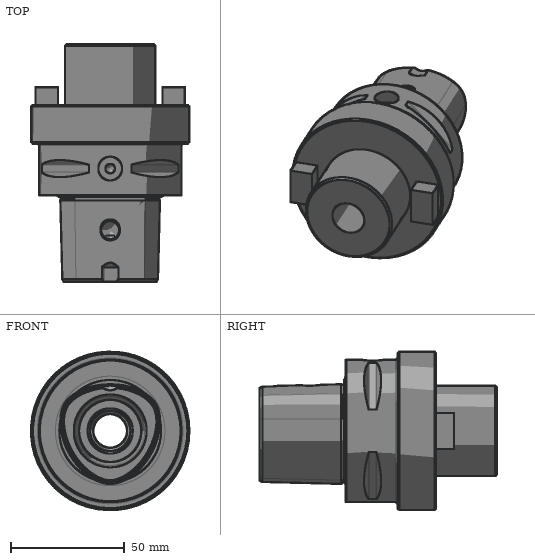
import cadquery as cq
import math


shank_length = 38.0
body_length = 22.9
flange_end = 40.0
spigot_length = 27.0
spigot_end = flange_end + spigot_length

spigot_diameter = 40.0
flange_diameter = 70.0
body_diameter = 63.0
spigot_radius = spigot_diameter / 2
flange_radius = flange_diameter / 2
body_radius = body_diameter / 2

spigot_chamfer = 0.9
flange_top_chamfer = 0.7
flange_base_chamfer = 0.9
flange_chamfer_length = 0.9
body_chamfer = 0.4
corner_radius = 0.7

mean_radius = 22.1
eccentricity = 1.4
taper_per_length = 1 / 40
lobe_half_angle = 27.0
points_per_face = 9
tip_chamfer = 0.75
tip_chamfer_length = 1.3
neck_length = 2.0
neck_relief = 0.2
neck_radius = 22.5
neck_straight = 1.1
neck_flare_radius = 24.5
collar_radius = 24.2
collar_height = 0.6

mouth_radius = 16.1
mouth_chamfer_radius = 15.3
mouth_chamfer_depth = 1.5
lead_radius = 14.0
lead_depth = 6.9
lip_radius = 13.8
lip_depth = 9.0
groove_radius = 14.8
groove_depth = 14.3
groove_edge = 1.0
back_edge_length = 2.0
pocket_radius = 13.7
pocket_depth = 20.5
thread_chamfer = 1.1
thread_radius = 8.9
thread_depth = 50.0
bore_radius = 7.4

key_inner = 23.0
key_outer = 33.0
key_width = 16.0
key_height = 8.0

groove_center = 12.0
groove_floor_distance = 27.9
groove_floor_width = 3.4
groove_wall_angle = 30.0
groove_floor_fillet = 0.4
screw_hole_radius = 5.25
screw_hole_floor = 26.0
socket_radius = 2.1
socket_depth = 1.0
index_hole_center = -15.2
index_hole_radius = 4.0
index_hole_floor = 14.8
index_hole_mouth = 19.7
drill_half_angle = 59.0
tip_notch_radius = 4.7
tip_notch_floor = 17.9
tip_notch_length = 6.4
tip_notch_half_angle = 45.0


def revolve_about_y(outline):
    return outline.close().revolve(360, (0, 0, 0), (0, 1, 0))


def turned_body():
    """Spigot, flange and gripper body, with the raised collar around the shank."""
    fillet_start = body_length - corner_radius
    outline = (
        cq.Workplane("XY")
        .moveTo(0, spigot_end)
        .lineTo(spigot_radius - spigot_chamfer, spigot_end)
        .lineTo(spigot_radius, spigot_end - spigot_chamfer)
        .lineTo(spigot_radius, flange_end)
        .lineTo(flange_radius - flange_top_chamfer, flange_end)
        .lineTo(flange_radius, flange_end - flange_top_chamfer)
        .lineTo(flange_radius, body_length + flange_chamfer_length)
        .lineTo(flange_radius - flange_base_chamfer, body_length)
        .lineTo(body_radius + corner_radius, body_length)
        .radiusArc((body_radius, fillet_start), -corner_radius)
        .lineTo(body_radius, body_chamfer)
        .lineTo(body_radius - body_chamfer, 0)
        .lineTo(collar_radius, 0)
        .threePointArc(
            (
                neck_radius + (collar_radius - neck_radius) * (1 - math.sqrt(0.5)),
                -collar_height * (1 - math.sqrt(0.5)),
            ),
            (neck_radius, -collar_height),
        )
        .lineTo(0, -collar_height)
    )
    return revolve_about_y(outline)


def polygon_point(radius, angle, y):
    """Point of the three-lobed profile whose outward normal is `angle` from +Z."""
    x = (
        radius * math.sin(angle)
        + 2 * eccentricity * math.sin(2 * angle)
        + eccentricity * math.sin(4 * angle)
    )
    z = (
        radius * math.cos(angle)
        - 2 * eccentricity * math.cos(2 * angle)
        + eccentricity * math.cos(4 * angle)
    )
    return cq.Vector(x, y, z)


def polygon_wire(radius, y):
    """Closed profile of three lobes and the three flatter sides between them."""
    edges = []
    for lobe_angle in (60, 180, 300):
        lobe_start = lobe_angle - lobe_half_angle
        lobe_end = lobe_angle + lobe_half_angle
        next_lobe_start = lobe_start + 120
        for first, last in ((lobe_start, lobe_end), (lobe_end, next_lobe_start)):
            step = (last - first) / (points_per_face - 1)
            angles = [math.radians(first + i * step) for i in range(points_per_face)]
            points = [polygon_point(radius, angle, y) for angle in angles]
            tangents = [cq.Vector(math.cos(a), 0, -math.sin(a)) for a in (angles[0], angles[-1])]
            edges.append(cq.Edge.makeSpline(points, tangents=tangents))
    return cq.Wire.assembleEdges(edges)


def tapered_radius(y):
    return mean_radius + y * taper_per_length


def polygon_loft(start, end):
    """Straight-sided solid between two (radius, y) profiles."""
    return cq.Workplane(cq.Solid.makeLoft([polygon_wire(*start), polygon_wire(*end)], True))


def shank():
    """Polygon taper with a chamfered tip and a relieved, round-trimmed neck."""
    taper_start = -neck_length
    taper_end = tip_chamfer_length - shank_length
    large = tapered_radius(taper_start)
    small = tapered_radius(taper_end)
    tip = tapered_radius(-shank_length) - tip_chamfer
    taper = polygon_loft((large, taper_start), (small, taper_end))
    chamfered_tip = polygon_loft((small, taper_end), (tip, -shank_length))
    neck = polygon_loft((large - neck_relief, 0), (large - neck_relief, taper_start))
    neck_trim = revolve_about_y(
        cq.Workplane("XY")
        .moveTo(0, 0)
        .lineTo(neck_radius, 0)
        .lineTo(neck_radius, -neck_straight)
        .lineTo(neck_flare_radius, taper_start)
        .lineTo(0, taper_start)
    )
    return taper.union(chamfered_tip).union(neck.intersect(neck_trim))


def drive_keys():
    keys = cq.Workplane("XY")
    for side in (-1, 1):
        center_x = side * (key_inner + key_outer) / 2
        key = cq.Workplane("XY").box(key_outer - key_inner, 2 * key_height, key_width)
        keys = keys.add(key.translate((center_x, flange_end, 0)))
    return keys.combine()


def stepped_bore():
    """Through bore: chamfered mouth, lead-in cone, ring groove, pocket and thread hole."""
    tip = -shank_length
    thread_chamfer_radius = thread_radius + thread_chamfer
    drill_cone = (thread_radius - bore_radius) / math.tan(math.radians(drill_half_angle))
    outline = (
        cq.Workplane("XY")
        .moveTo(0, tip)
        .lineTo(mouth_radius, tip)
        .lineTo(mouth_chamfer_radius, tip + mouth_chamfer_depth)
        .lineTo(lead_radius, tip + lead_depth)
        .lineTo(lip_radius, tip + lip_depth - groove_edge)
        .lineTo(lip_radius, tip + lip_depth)
        .lineTo(groove_radius, tip + lip_depth + groove_edge)
        .lineTo(groove_radius, tip + groove_depth - back_edge_length)
        .lineTo(pocket_radius, tip + groove_depth)
        .lineTo(pocket_radius, tip + pocket_depth)
        .lineTo(thread_chamfer_radius, tip + pocket_depth)
        .lineTo(thread_radius, tip + pocket_depth + thread_chamfer)
        .lineTo(thread_radius, tip + thread_depth)
        .lineTo(bore_radius, tip + thread_depth + drill_cone)
        .lineTo(bore_radius, spigot_end)
        .lineTo(0, spigot_end)
    )
    return revolve_about_y(outline)


def gripper_grooves():
    """Four V grooves across the body, square to the diagonals."""
    depth = body_radius - groove_floor_distance
    floor_half = groove_floor_width / 2
    top_half = floor_half + depth * math.tan(math.radians(groove_wall_angle))
    groove = (
        cq.Workplane("YZ")
        .moveTo(groove_center - floor_half, groove_floor_distance)
        .lineTo(groove_center + floor_half, groove_floor_distance)
        .lineTo(groove_center + top_half, body_radius)
        .lineTo(groove_center - top_half, body_radius)
        .close()
        .extrude(body_radius / 2, both=True)
        .faces("<Z")
        .edges("|X")
        .fillet(groove_floor_fillet)
    )
    grooves = cq.Workplane("XY")
    for angle in (45, 135, 225, 315):
        grooves = grooves.add(groove.rotate((0, 0, 0), (0, 1, 0), angle))
    return grooves.combine()


def drilled_hole(y, radius, floor, top):
    """Hole along Z from `top` to `floor`, ending in a drill point below the floor."""
    point_depth = radius / math.tan(math.radians(drill_half_angle))
    profile = (
        cq.Workplane("XZ")
        .moveTo(0, top)
        .lineTo(radius, top)
        .lineTo(radius, floor)
        .lineTo(0, floor - point_depth)
        .close()
        .revolve(360, (0, 0, 0), (0, 1, 0))
    )
    return profile.translate((0, y, 0))


def index_hole():
    """Blind hole in the flat side of the shank with a 45 degree countersink."""
    hole = drilled_hole(index_hole_center, index_hole_radius, index_hole_floor, mean_radius)
    countersink_depth = mean_radius - index_hole_mouth
    countersink = (
        cq.Workplane("XY", origin=(0, index_hole_center, index_hole_mouth))
        .circle(index_hole_radius)
        .extrude(countersink_depth, taper=-45)
    )
    return hole.union(countersink)


def screw_hole():
    """Flat-bottomed hole in the body with a small drilled socket in its floor."""
    hole = (
        cq.Workplane("XY", origin=(0, groove_center, screw_hole_floor))
        .circle(screw_hole_radius)
        .extrude(body_radius - screw_hole_floor)
    )
    socket_floor = screw_hole_floor - socket_depth
    socket = drilled_hole(groove_center, socket_radius, socket_floor, screw_hole_floor)
    return hole.union(socket)


def tip_notch():
    """Round-bottomed notch in the tip of the shank, ending in a cone."""
    cone_length = tip_notch_radius / math.tan(math.radians(tip_notch_half_angle))
    notch_end = tip_notch_length - shank_length
    notch = revolve_about_y(
        cq.Workplane("XY")
        .moveTo(0, -shank_length)
        .lineTo(tip_notch_radius, -shank_length)
        .lineTo(tip_notch_radius, notch_end)
        .lineTo(0, notch_end + cone_length)
    )
    return notch.translate((0, 0, tip_notch_floor + tip_notch_radius))


result = (
    turned_body()
    .union(shank())
    .union(drive_keys())
    .cut(stepped_bore())
    .cut(gripper_grooves())
    .cut(screw_hole())
    .cut(index_hole())
    .cut(tip_notch())
)